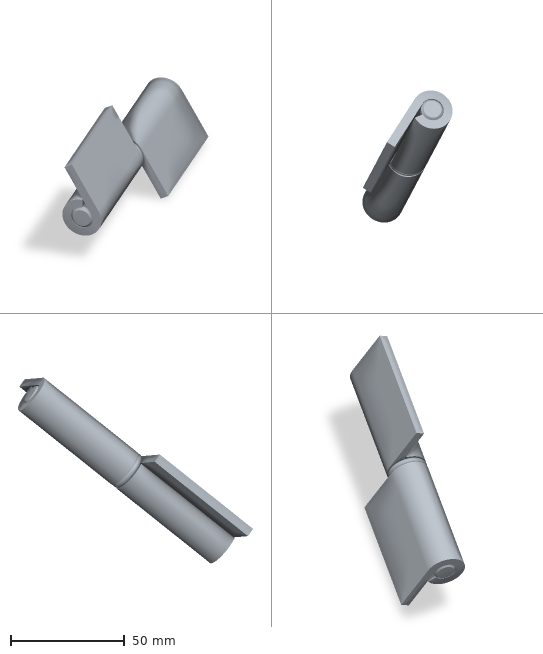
import cadquery as cq
import math

TOTAL_LENGTH = 112.0
LEAF_LENGTH = 54.0
LEAF_THICKNESS = 4.0
LEAF_REACH = 25.0
LEAF_NORMAL_ANGLE = 30.0
ROLL_END_ANGLE = 90.0

PIN_DIAMETER = 10.0
PIN_CHAMFER = 1.0
COLLAR_WIDTH = 3.0
BORE_DIAMETER = 10.1

BORE_RADIUS = BORE_DIAMETER / 2
BARREL_RADIUS = BORE_RADIUS + LEAF_THICKNESS
ROLL_MIDDLE_ANGLE = (LEAF_NORMAL_ANGLE + ROLL_END_ANGLE - 360) / 2


def polar_point(radius, angle):
    """Point at a distance and direction from the pin axis, in the XZ plane."""
    return (radius * math.cos(math.radians(angle)), radius * math.sin(math.radians(angle)))


def free_edge_point(radius):
    """Corner of the leaf's free edge, on the face that is tangent to the given radius."""
    tangent_x, tangent_z = polar_point(radius, LEAF_NORMAL_ANGLE)
    reach_x, reach_z = polar_point(LEAF_REACH, LEAF_NORMAL_ANGLE + 90)
    return (tangent_x + reach_x, tangent_z + reach_z)


def make_leaf():
    """Flat plate rolled into an open barrel, on the -Y side of the collar."""
    return (
        cq.Workplane("XZ")
        .workplane(offset=COLLAR_WIDTH / 2)
        .moveTo(*polar_point(BORE_RADIUS, LEAF_NORMAL_ANGLE))
        .lineTo(*free_edge_point(BORE_RADIUS))
        .lineTo(*free_edge_point(BARREL_RADIUS))
        .lineTo(*polar_point(BARREL_RADIUS, LEAF_NORMAL_ANGLE))
        .threePointArc(
            polar_point(BARREL_RADIUS, ROLL_MIDDLE_ANGLE),
            polar_point(BARREL_RADIUS, ROLL_END_ANGLE),
        )
        .lineTo(*polar_point(BORE_RADIUS, ROLL_END_ANGLE))
        .threePointArc(
            polar_point(BORE_RADIUS, ROLL_MIDDLE_ANGLE),
            polar_point(BORE_RADIUS, LEAF_NORMAL_ANGLE),
        )
        .close()
        .extrude(LEAF_LENGTH)
    )


def make_pin():
    """Chamfered pin with a round-edged collar that separates the two leaves."""
    shaft = (
        cq.Workplane("XZ")
        .circle(PIN_DIAMETER / 2)
        .extrude(TOTAL_LENGTH / 2, both=True)
        .faces("<Y or >Y")
        .chamfer(PIN_CHAMFER)
    )
    half_width = COLLAR_WIDTH / 2
    flat_radius = BARREL_RADIUS - half_width
    collar = (
        cq.Workplane("XY")
        .moveTo(0, -half_width)
        .lineTo(flat_radius, -half_width)
        .threePointArc((BARREL_RADIUS, 0), (flat_radius, half_width))
        .lineTo(0, half_width)
        .close()
        .revolve(360, (0, 0), (0, 1))
    )
    return shaft.union(collar)


normal_x, normal_z = polar_point(1, LEAF_NORMAL_ANGLE)
leaves = [
    make_leaf().rotate((0, 0, 0), (normal_x, 0, normal_z), turn)
    for turn in (0, 180)
]
pin = make_pin()

result = cq.Compound.makeCompound([*(leaf.val() for leaf in leaves), pin.val()])